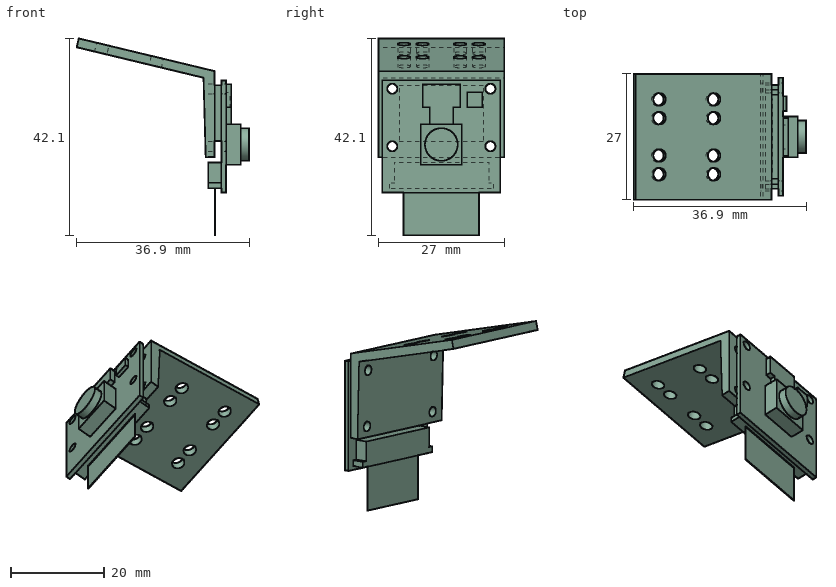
import cadquery as cq
import math


bracket_width = 27.0
mount_height = 18.42
arm_thickness = 2.0
arm_end_x = -29.1
arm_end_z = 25.42
leg_foot_thickness = 1.95
leg_root_thickness = 2.4
leg_foot_drop = 0.05
arm_angle = math.atan2(arm_end_z - mount_height, -arm_end_x)
arm_hole_diameter = 2.7
arm_hole_distances = (12.65, 24.65)
arm_hole_offsets = (4.0, 8.0)

mount_hole_diameter = 2.1
mount_hole_offset = 10.5
mount_hole_heights = (2.3, 14.65)

spacer_depth = 1.45
spacer_width = 17.9
spacer_bottom = 3.4
spacer_top = 15.4
board_thickness = 1.0
board_width = 25.3
board_bottom = -7.6
board_top = 16.4
board_back = spacer_depth
board_front = board_back + board_thickness

connector_back = -1.4
connector_width = 20.2
connector_top = -1.15
connector_bottom = -6.7
latch_width = 22.25
latch_height = 1.25
ribbon_thickness = 0.13
ribbon_width = 16.2
ribbon_bottom = arm_end_z - 42.15

housing_depth = 3.15
housing_size = 8.75
lens_center_z = 2.7
lens_radius = 3.5
lens_depth = 1.75

socket_depth = 1.15
socket_width = 8.0
socket_top = 15.65
socket_bottom = 10.65
sensor_ribbon_width = 5.05
chip_depth = 0.75
chip_size = 3.2
chip_center_y = 7.13


def block(x_min, x_max, width, z_min, z_max, center_y=0):
    """Box between two X and two Z limits, centred on center_y."""
    return (
        cq.Workplane("XY")
        .box(x_max - x_min, width, z_max - z_min, centered=(False, True, False))
        .translate((x_min, center_y, z_min))
    )


def mount_holes():
    """Four cutters along X, long enough to pass through bracket and board."""
    start = -2 * leg_root_thickness
    points = [(y, z) for y in (-mount_hole_offset, mount_hole_offset) for z in mount_hole_heights]
    return (
        cq.Workplane("YZ", origin=(start, 0, 0))
        .pushPoints(points)
        .circle(mount_hole_diameter / 2)
        .extrude(2 * board_front - start)
    )


def arm_holes():
    """Eight cutters square to the sloping arm."""
    arm_plane = cq.Plane(
        origin=(0, 0, mount_height),
        xDir=(-math.cos(arm_angle), 0, math.sin(arm_angle)),
        normal=(math.sin(arm_angle), 0, math.cos(arm_angle)),
    )
    points = [
        (distance, side * offset)
        for distance in arm_hole_distances
        for offset in arm_hole_offsets
        for side in (-1, 1)
    ]
    return (
        cq.Workplane(arm_plane)
        .pushPoints(points)
        .circle(arm_hole_diameter / 2)
        .extrude(2 * arm_thickness, both=True)
    )


def make_bracket():
    """Bent plate: a tapered upright leg and a sloping arm."""
    arm_tip_x = arm_end_x - arm_thickness * math.sin(arm_angle)
    arm_tip_z = arm_end_z - arm_thickness * math.cos(arm_angle)
    inner_corner_z = (
        mount_height + leg_root_thickness * math.tan(arm_angle) - arm_thickness / math.cos(arm_angle)
    )
    profile = [
        (0, 0),
        (0, mount_height),
        (arm_end_x, arm_end_z),
        (arm_tip_x, arm_tip_z),
        (-leg_root_thickness, inner_corner_z),
        (-leg_foot_thickness, -leg_foot_drop),
    ]
    plate = cq.Workplane("XZ").polyline(profile).close().extrude(bracket_width / 2, both=True)
    return plate.cut(arm_holes()).cut(mount_holes())


def make_connector():
    """Ribbon connector with its wider latch and the hanging ribbon."""
    body = block(connector_back, board_back, connector_width, connector_bottom, connector_top)
    latch = block(
        connector_back, board_back, latch_width, connector_bottom, connector_bottom + latch_height
    )
    ribbon = block(0, ribbon_thickness, ribbon_width, ribbon_bottom, connector_bottom)
    return body.union(latch).union(ribbon)


def make_lens():
    """Square sensor housing with the round lens in front of it."""
    housing_front = board_front + housing_depth
    housing = block(
        board_front,
        housing_front,
        housing_size,
        lens_center_z - housing_size / 2,
        lens_center_z + housing_size / 2,
    )
    barrel = (
        cq.Workplane("YZ", origin=(housing_front, 0, lens_center_z))
        .circle(lens_radius)
        .extrude(lens_depth)
    )
    return housing.union(barrel)


def make_front_components():
    """Sensor socket, the short ribbon down to the housing, and a small chip."""
    socket_front = board_front + socket_depth
    housing_top = lens_center_z + housing_size / 2
    socket = block(board_front, socket_front, socket_width, socket_bottom, socket_top)
    sensor_ribbon = block(board_front, socket_front, sensor_ribbon_width, housing_top, socket_bottom)
    chip = block(
        board_front,
        board_front + chip_depth,
        chip_size,
        socket_bottom,
        socket_bottom + chip_size,
        chip_center_y,
    )
    return socket.union(sensor_ribbon).union(chip)


def make_camera():
    """Camera module: board, spacer block and everything mounted on them."""
    board = block(board_back, board_front, board_width, board_bottom, board_top).cut(mount_holes())
    spacer = block(0, spacer_depth, spacer_width, spacer_bottom, spacer_top)
    return (
        board.union(spacer)
        .union(make_connector())
        .union(make_lens())
        .union(make_front_components())
    )


bracket = make_bracket()
camera = make_camera()

result = cq.Compound.makeCompound([bracket.val(), camera.val()])